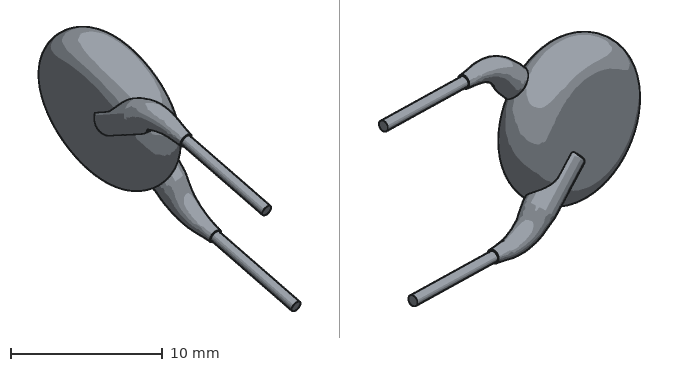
import cadquery as cq
import math

body_diameter = 12.0
body_thickness = 4.19
rim_radius = body_thickness / 2

overall_length = 23.0
overall_depth = 5.0
wire_diameter = 0.8
wire_height = 6.12
wire_start_x = 9.02
wire_end_x = overall_length - body_diameter / 2

sleeve_diameter = 2.4
sleeve_tip_distance = 1.95
sleeve_tip_fillet = 0.23
taper_start_distance = 6.3
taper_end_diameter = 1.01
bend_radius = 2.3
bend_angle = math.radians(45)
lead_y = -(overall_depth - sleeve_diameter) / 2

radial_direction = cq.Vector(math.cos(bend_angle), 0, math.sin(bend_angle))
wire_direction = cq.Vector(1, 0, 0)


def radial_point(distance):
    """Point on the sleeve axis at a distance from the disc axis."""
    return cq.Vector(0, lead_y, 0) + radial_direction * distance


def make_body():
    flat_radius = body_diameter / 2 - rim_radius
    return (
        cq.Workplane("XY")
        .moveTo(0, -rim_radius)
        .lineTo(flat_radius, -rim_radius)
        .threePointArc((body_diameter / 2, 0), (flat_radius, rim_radius))
        .lineTo(0, rim_radius)
        .close()
        .revolve(360, (0, 0, 0), (0, 1, 0))
    )


def make_sleeve():
    plane = cq.Plane(radial_point(sleeve_tip_distance), (0, 1, 0), radial_direction)
    sleeve_length = taper_start_distance - sleeve_tip_distance
    return (
        cq.Workplane(plane)
        .circle(sleeve_diameter / 2)
        .extrude(sleeve_length)
        .faces(cq.selectors.DirectionMinMaxSelector(radial_direction, False))
        .edges()
        .fillet(sleeve_tip_fillet)
    )


def make_tapered_bend():
    """Sweep from the sleeve diameter to the taper end along one smooth curve."""
    corner = radial_point(wire_height / math.sin(bend_angle))
    tangent_length = bend_radius * math.tan(bend_angle / 2)
    start = radial_point(taper_start_distance)
    bend_start = corner - radial_direction * tangent_length
    bend_end = corner + wire_direction * tangent_length
    end = cq.Vector(wire_start_x, lead_y, wire_height)
    spine_edge = cq.Edge.makeSpline(
        [start, bend_start, bend_end, end],
        tangents=[radial_direction, wire_direction],
    )
    spine = cq.Wire.assembleEdges([spine_edge])
    start_section = cq.Wire.makeCircle(sleeve_diameter / 2, start, radial_direction)
    end_section = cq.Wire.makeCircle(taper_end_diameter / 2, end, wire_direction)
    return cq.Workplane(cq.Solid.sweep_multi([start_section, end_section], spine))


def make_wire():
    return (
        cq.Workplane("YZ", origin=(wire_start_x, 0, 0))
        .center(lead_y, wire_height)
        .circle(wire_diameter / 2)
        .extrude(wire_end_x - wire_start_x)
    )


lead = make_sleeve().union(make_tapered_bend()).union(make_wire())
opposite_lead = lead.rotate((0, 0, 0), (1, 0, 0), 180)

result = make_body().union(lead).union(opposite_lead)